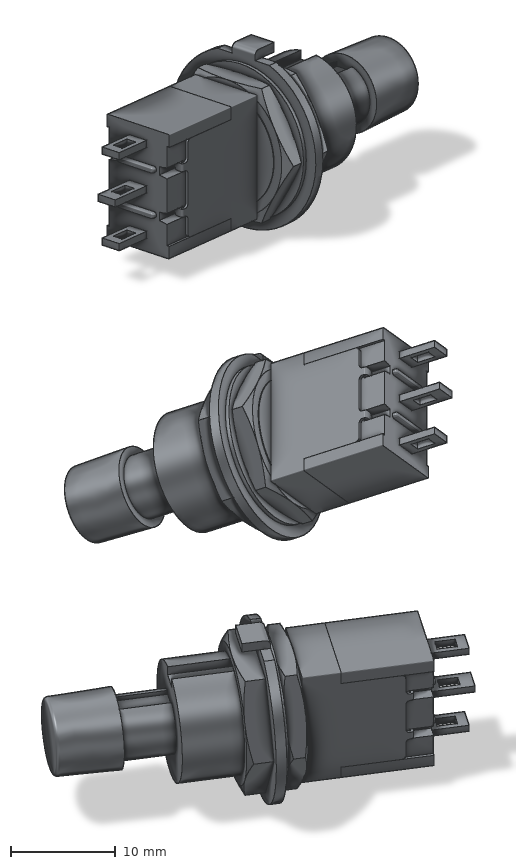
import cadquery as cq
import math


BUTTON_TOP = 23.85
CAP_END = 17.35
BUSHING_TOP = 12.1
UPPER_NUT_TOP = 6.03
TAB_TOP = 5.35
TAB_WASHER_TOP = 3.6
THIN_WASHER_TOP = 2.55
LOWER_NUT_TOP = 2.15
LOWER_NUT_END = 0.1
FRAME_CROWN_END = -3.8
PLATE_END = -10.1
POCKET_TOP = -10.5
HOOK_END = -10.9
BASE_END = -12.85
OUTER_TERMINAL_END = -16.85
OVERALL_LENGTH = 41.25
MIDDLE_TERMINAL_END = BUTTON_TOP - OVERALL_LENGTH

CAP_TOP_DIAMETER = 7.68
CAP_END_DIAMETER = 8.05
CAP_FILLET = 0.37
PLUNGER_DIAMETER = 6.35
PLUNGER_FLAT_HEIGHT = 2.55

BUSHING_DIAMETER = 11.95
KEYWAY_WIDTH = 1.9
KEYWAY_FLOOR_HEIGHT = 4.95

NUT_FLATS = 13.9
NUT_CORNERS = NUT_FLATS / math.cos(math.pi / 6)
NUT_CHAMFER_HEIGHT = 0.45
THIN_WASHER_DIAMETER = 15.8
TAB_WASHER_DIAMETER = 18.2
TAB_WASHER_FLAT_HEIGHT = 8.5
TAB_WIDTH = 2.9
OVERALL_HEIGHT = 18.6
TAB_TIP_HEIGHT = OVERALL_HEIGHT - TAB_WASHER_DIAMETER / 2
TAB_BEND_RADIUS = 0.58

BODY_WIDTH = 7.85
BODY_HEIGHT = 12.88
EDGE_FILLET = 0.12
PLATE_THICKNESS = 0.3
PLATE_HEIGHT = 10.25
PLATE_CORNER_RADIUS = 0.45
BASE_CORE_WIDTH = BODY_WIDTH - 2 * PLATE_THICKNESS

HOOK_WIDTH = 0.83
HOOK_REACH = 1.0
HOOK_BEND_RADIUS = 0.25
HOOK_TIP_RADIUS = 0.37
HOOK_ROOT_RADIUS = 0.37
POCKET_REACH = 1.25
POCKET_MOUTH_HEIGHT = 1.25
POCKET_INNER_HEIGHT = 0.83

TERMINAL_PITCH = 4.7
TERMINAL_WIDTH = 2.15
TERMINAL_THICKNESS = 0.75
TERMINAL_SEAT_DEPTH = 2.05
WINDOW_WIDTH = 1.1
WINDOW_LENGTH = 2.0
OUTER_WINDOW_START = -13.83
MIDDLE_WINDOW_START = -14.07
RIB_LENGTH = 4.62
RIB_THICKNESS = 0.6
RIB_HEIGHT = 0.5
RIB_FILLET = 0.2
TERMINALS = (
    (-TERMINAL_PITCH, OUTER_TERMINAL_END, OUTER_WINDOW_START),
    (0, MIDDLE_TERMINAL_END, MIDDLE_WINDOW_START),
    (TERMINAL_PITCH, OUTER_TERMINAL_END, OUTER_WINDOW_START),
)

GAP_HEIGHTS = (-TERMINAL_PITCH / 2, TERMINAL_PITCH / 2)
SIDES = (-1, 1)


def section_at(y):
    """Workplane across the axis at y: local x is +X, local y is +Z, extrusion runs toward -Y."""
    return cq.Workplane("XZ", origin=(0, y, 0))


def block(x_range, y_range, z_range):
    """Box between the two limits given for each axis."""
    limits = (x_range, y_range, z_range)
    sizes = [high - low for low, high in limits]
    return cq.Workplane(cq.Solid.makeBox(*sizes, cq.Vector(*[low for low, high in limits])))


def centred(size):
    return (-size / 2, size / 2)


def disc(diameter, top, end):
    return section_at(top).circle(diameter / 2).extrude(top - end)


def ring(diameter, top, end):
    """Disc with a hole that fits the bushing."""
    return disc(diameter, top, end).cut(disc(BUSHING_DIAMETER, top, end))


def make_button():
    """Tapered cap and keyed plunger, in one piece."""
    cap = (
        cq.Workplane("XY")
        .moveTo(0, CAP_END)
        .lineTo(CAP_END_DIAMETER / 2, CAP_END)
        .lineTo(CAP_TOP_DIAMETER / 2, BUTTON_TOP)
        .lineTo(0, BUTTON_TOP)
        .close()
        .revolve(360, (0, 0, 0), (0, 1, 0))
        .faces(">Y")
        .edges()
        .fillet(CAP_FILLET)
    )
    plunger = disc(PLUNGER_DIAMETER, CAP_END, BUSHING_TOP)
    slot = block(
        centred(KEYWAY_WIDTH),
        (BUSHING_TOP, CAP_END),
        (PLUNGER_FLAT_HEIGHT, PLUNGER_DIAMETER),
    )
    return cap.union(plunger.cut(slot))


def make_bushing():
    """Round bushing with a keyway along its top."""
    keyway = block(
        centred(KEYWAY_WIDTH),
        (0, BUSHING_TOP),
        (KEYWAY_FLOOR_HEIGHT, BUSHING_DIAMETER),
    )
    return disc(BUSHING_DIAMETER, BUSHING_TOP, 0).cut(keyway)


def body_envelope():
    """Rectangular block around frame and base, with softened long edges."""
    envelope = block(centred(BODY_WIDTH), (BASE_END, 0), centred(BODY_HEIGHT))
    return envelope.edges("|Y").fillet(EDGE_FILLET)


def make_hook(side, height):
    """Hook that continues a side plate and turns inward into a pocket of the base."""
    outer = BODY_WIDTH / 2
    low, high = sorted((side * (outer - HOOK_REACH), side * outer))
    hook = block((low, high), (HOOK_END, PLATE_END), centred(HOOK_WIDTH))
    inner_low, inner_high = sorted((side * (outer - HOOK_REACH), side * (outer - PLATE_THICKNESS)))
    hollow = block((inner_low, inner_high), (HOOK_END + PLATE_THICKNESS, PLATE_END), centred(HOOK_WIDTH))
    outer_face = ">X" if side > 0 else "<X"
    tip_face = "<X" if side > 0 else ">X"
    hook = hook.cut(hollow)
    hook = hook.faces("<Y").edges(outer_face).fillet(HOOK_BEND_RADIUS)
    hook = hook.faces(tip_face).edges("|Y").fillet(HOOK_TIP_RADIUS)
    return hook.translate((0, 0, height))


def make_hook_root(side, height):
    """Flared root of a hook, with a concave round on each flank."""
    half_width = HOOK_WIDTH / 2
    root = block(
        centred(PLATE_THICKNESS),
        (PLATE_END - HOOK_ROOT_RADIUS, PLATE_END),
        centred(HOOK_WIDTH + 2 * HOOK_ROOT_RADIUS),
    )
    rounds = (
        cq.Workplane("YZ", origin=(-PLATE_THICKNESS / 2, 0, 0))
        .pushPoints([(PLATE_END - HOOK_ROOT_RADIUS, s * (half_width + HOOK_ROOT_RADIUS)) for s in SIDES])
        .circle(HOOK_ROOT_RADIUS)
        .extrude(PLATE_THICKNESS)
    )
    plate_middle = (BODY_WIDTH - PLATE_THICKNESS) / 2
    return root.cut(rounds).translate((side * plate_middle, 0, height))


def make_side_plate(side):
    """Plate down one side of the base, with its two hooks."""
    outer = side * BODY_WIDTH / 2
    inner = side * BASE_CORE_WIDTH / 2
    plate = block(sorted((inner, outer)), (PLATE_END, FRAME_CROWN_END), centred(PLATE_HEIGHT))
    plate = plate.faces("<Y").edges("|X").fillet(PLATE_CORNER_RADIUS)
    for height in GAP_HEIGHTS:
        plate = plate.union(make_hook_root(side, height)).union(make_hook(side, height))
    return plate


def make_bushing_frame():
    """Bushing in one piece with the frame: a solid crown and two side plates."""
    crown = body_envelope().intersect(
        block(centred(BODY_WIDTH), (FRAME_CROWN_END, 0), centred(BODY_HEIGHT))
    )
    frame = make_bushing().union(crown)
    for side in SIDES:
        frame = frame.union(make_side_plate(side))
    return frame


def make_pocket(side, height):
    """Tapered pocket in the side of the base, wider at its mouth and open at the -Y end."""
    outer = side * BODY_WIDTH / 2
    inner = side * (BODY_WIDTH / 2 - POCKET_REACH)
    mouth = POCKET_MOUTH_HEIGHT / 2
    back = POCKET_INNER_HEIGHT / 2
    outline = [
        (outer, height - mouth),
        (outer, height + mouth),
        (inner, height + back),
        (inner, height - back),
    ]
    return section_at(POCKET_TOP).polyline(outline).close().extrude(POCKET_TOP - BASE_END)


def make_rib(height):
    """Rounded rib on the end of the base, between two terminals."""
    rib = section_at(BASE_END).center(0, height).slot2D(RIB_LENGTH, RIB_THICKNESS).extrude(RIB_HEIGHT)
    return rib.faces("<Y").edges().fillet(RIB_FILLET)


def make_base():
    """Base whose sides are set back between full-width top and bottom flanges."""
    base = body_envelope().intersect(
        block(centred(BODY_WIDTH), (BASE_END, FRAME_CROWN_END), centred(BODY_HEIGHT))
    )
    for side in SIDES:
        set_back = sorted((side * BASE_CORE_WIDTH / 2, side * BODY_WIDTH / 2))
        base = base.cut(block(set_back, (BASE_END, FRAME_CROWN_END), centred(PLATE_HEIGHT)))
        for height in GAP_HEIGHTS:
            base = base.cut(make_pocket(side, height))
    for height in GAP_HEIGHTS:
        base = base.union(make_rib(height))
    for height, end, window_start in TERMINALS:
        base = base.cut(make_terminal(height, end, window_start))
    return base


def make_terminal(height, end, window_start):
    """Flat solder terminal with a rectangular window, with its root seated in the base."""
    thickness = (height - TERMINAL_THICKNESS / 2, height + TERMINAL_THICKNESS / 2)
    blade = block(centred(TERMINAL_WIDTH), (end, BASE_END + TERMINAL_SEAT_DEPTH), thickness)
    window = block(centred(WINDOW_WIDTH), (window_start - WINDOW_LENGTH, window_start), thickness)
    return blade.cut(window)


def nut_cone(top, end, chamfer_end):
    """Round envelope that chamfers the corners of a nut at its top, and at its end if asked."""
    face_radius = NUT_FLATS / 2
    corner_radius = NUT_CORNERS / 2
    profile = [(0, top), (face_radius, top), (corner_radius, top - NUT_CHAMFER_HEIGHT)]
    if chamfer_end:
        profile += [(corner_radius, end + NUT_CHAMFER_HEIGHT), (face_radius, end)]
    else:
        profile += [(corner_radius, end)]
    profile += [(0, end)]
    return cq.Workplane("XY").polyline(profile).close().revolve(360, (0, 0, 0), (0, 1, 0))


def make_nut(top, end, chamfer_end):
    """Hexagonal nut with flats facing up and down."""
    hexagon = section_at(top).polygon(6, NUT_CORNERS).extrude(top - end)
    return hexagon.intersect(nut_cone(top, end, chamfer_end)).cut(disc(BUSHING_DIAMETER, top, end))


def make_tab_washer():
    """Washer with a flat on top and a tab that is bent toward the button."""
    washer = ring(TAB_WASHER_DIAMETER, TAB_WASHER_TOP, THIN_WASHER_TOP)
    above_flat = block(
        centred(TAB_WASHER_DIAMETER),
        (THIN_WASHER_TOP, TAB_WASHER_TOP),
        (TAB_WASHER_FLAT_HEIGHT, TAB_WASHER_DIAMETER),
    )
    tab = block(
        centred(TAB_WIDTH),
        (THIN_WASHER_TOP, TAB_TOP),
        (TAB_WASHER_FLAT_HEIGHT, TAB_TIP_HEIGHT),
    )
    tab = tab.faces(">Z").edges("<Y").fillet(TAB_BEND_RADIUS)
    return washer.cut(above_flat).union(tab)


button = make_button()
bushing_frame = make_bushing_frame()
upper_nut = make_nut(UPPER_NUT_TOP, TAB_WASHER_TOP, chamfer_end=False)
tab_washer = make_tab_washer()
thin_washer = ring(THIN_WASHER_DIAMETER, THIN_WASHER_TOP, LOWER_NUT_TOP)
lower_nut = make_nut(LOWER_NUT_TOP, LOWER_NUT_END, chamfer_end=True)
base = make_base()
terminals = [make_terminal(*terminal).val() for terminal in TERMINALS]

result = cq.Compound.makeCompound(
    [
        button.val(),
        bushing_frame.val(),
        upper_nut.val(),
        tab_washer.val(),
        thin_washer.val(),
        lower_nut.val(),
        base.val(),
        *terminals,
    ]
)